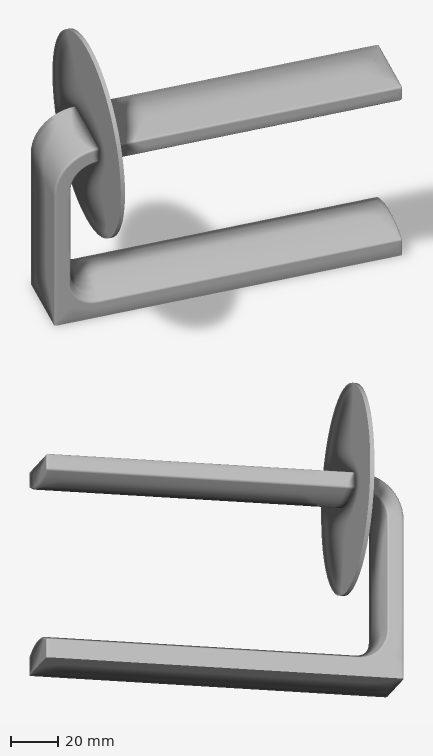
import cadquery as cq
import math

overall_length = 155.0
overall_height = 130.4
disc_diameter = 90.0
disc_thickness = 1.9
bar_width = 32.0
edge_round = 1.0

upper_top = 3.5
bend_outer_radius = 19.7
bar_edge_thickness = 7.0
lower_edge_thickness = 8.2
crown_rise = 3.5
cap_length = 5.0

front_y = -bend_outer_radius
end_y = front_y + overall_length
cap_start_y = end_y - cap_length
bottom_z = disc_diameter / 2 - overall_height
upper_edge_z = upper_top - bar_edge_thickness
lower_edge_z = bottom_z + lower_edge_thickness
leg_edge_y = front_y + bar_edge_thickness
inner_radius = bend_outer_radius - bar_edge_thickness
half_width = bar_width / 2
diagonal = math.sqrt(0.5)
joint_tolerance = 0.02


def crowned_bar(start_y, stop_y):
    """Straight upper bar: flat on top, rounded side edges, arched underside."""
    bar = (
        cq.Workplane("XZ", origin=(0, start_y, 0))
        .moveTo(-half_width, upper_top)
        .lineTo(half_width, upper_top)
        .lineTo(half_width, upper_edge_z)
        .threePointArc((0, upper_edge_z - crown_rise), (-half_width, upper_edge_z))
        .close()
        .extrude(start_y - stop_y)
    )
    return bar.edges("|Y").fillet(edge_round)


def inner_path(sketch):
    """Continue a YZ sketch from the upper arm round to the end of the lower arm, along the side edge."""
    corner_reach = inner_radius * diagonal
    return (
        sketch.threePointArc(
            (-corner_reach, upper_edge_z - inner_radius + corner_reach),
            (leg_edge_y, upper_edge_z - inner_radius),
        )
        .lineTo(leg_edge_y, lower_edge_z + inner_radius)
        .threePointArc((-corner_reach, lower_edge_z + inner_radius - corner_reach), (0, lower_edge_z))
        .lineTo(end_y, lower_edge_z)
    )


def round_handle(handle):
    """Round every side edge, then the rim of the free end; the base and the joint at the disc stay sharp."""
    upper_edges = handle.faces("<X or >X").edges("not <Z")
    side_edges = upper_edges.filter(lambda edge: abs(edge.Center().y) > joint_tolerance)
    rounded = side_edges.fillet(edge_round)
    return rounded.faces(">Y").edges("not <Z").fillet(edge_round)


def make_handle():
    """C-shaped handle: bend, leg and lower arm, with an arched inner face all the way round."""
    bend_reach = bend_outer_radius * diagonal
    bend_center_z = upper_top - bend_outer_radius
    frame = (
        inner_path(cq.Workplane("YZ").moveTo(0, upper_edge_z))
        .lineTo(end_y, bottom_z)
        .lineTo(front_y, bottom_z)
        .lineTo(front_y, bend_center_z)
        .threePointArc((-bend_reach, bend_center_z + bend_reach), (0, upper_top))
        .close()
        .extrude(half_width, both=True)
    )
    crown_path = inner_path(cq.Workplane("YZ").moveTo(0, upper_edge_z))
    crown = (
        cq.Workplane("XZ")
        .moveTo(-half_width, upper_edge_z)
        .threePointArc((0, upper_edge_z - crown_rise), (half_width, upper_edge_z))
        .close()
        .sweep(crown_path)
    )
    return round_handle(frame.union(crown))


def make_disc():
    """Thin round plate between the handle and the upper arm."""
    return cq.Workplane("XZ").circle(disc_diameter / 2).extrude(-disc_thickness)


def make_upper_arm():
    """Straight arm from the back of the disc to the end cap."""
    return crowned_bar(disc_thickness, cap_start_y)


def make_end_cap():
    """Short tip of the upper arm, with a rounded rim on its free end."""
    return crowned_bar(cap_start_y, end_y).faces(">Y").edges().fillet(edge_round)


handle = make_handle().solids()
disc = make_disc().solids()
upper_arm = make_upper_arm().solids()
end_cap = make_end_cap().solids()

result = cq.Compound.makeCompound([handle.val(), disc.val(), upper_arm.val(), end_cap.val()])